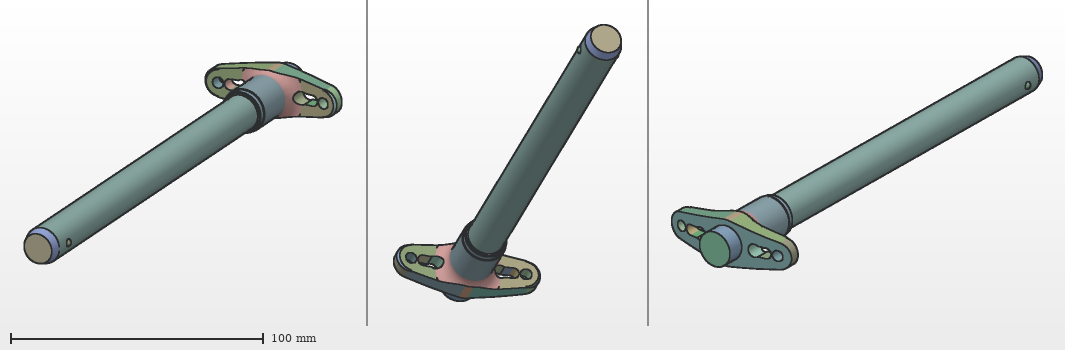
import cadquery as cq
import math


total_length = 208.5
pin_radius = 7.5
tip_radius = 6.3
tip_taper_length = 4.0

ball_radius = 1.7
ball_reach = 8.5
ball_to_tip = 11.5

handle_length = 59.2
hub_radius = 10.11
end_radius = 5.95
end_center = handle_length / 2 - end_radius
crown_depth = 7.5
end_back_depth = 11.3
end_front_depth = 16.7
hollow_depth = 14.4
end_chamfer = 1.3
profile_overhang = 0.6

hole_diameter = 4.5
keyhole_diameter = 5.6
keyhole_center = 13.3
slot_end_center = 18.5

collar_radius = 9.07
collar_step_depth = 37.3
collar_end_depth = 40.2
collar_end_radius = 8.65
collar_chamfer = 0.5
flare_outer_radius = 14.5
flare_start_depth = 14.8
flare_radius = flare_outer_radius - collar_radius
flare_end_depth = flare_start_depth + flare_radius


def make_pin():
    """Round button and shank in one bar, tapered at the tip."""
    return (
        cq.Workplane("XY")
        .lineTo(pin_radius, 0)
        .lineTo(pin_radius, tip_taper_length - total_length)
        .lineTo(tip_radius, -total_length)
        .lineTo(0, -total_length)
        .close()
        .revolve(360, (0, 0), (0, 1))
    )


def make_collar():
    """Collar that flares into the handle through a concave quarter round."""
    flare_mid_offset = flare_radius * math.sqrt(0.5)
    flare_mid = (flare_outer_radius - flare_mid_offset, flare_mid_offset - flare_end_depth)
    collar_back_depth = (flare_start_depth + crown_depth) / 2
    flared_collar = (
        cq.Workplane("XY")
        .moveTo(0, -collar_back_depth)
        .lineTo(flare_outer_radius, -collar_back_depth)
        .lineTo(flare_outer_radius, -flare_start_depth)
        .threePointArc(flare_mid, (collar_radius, -flare_end_depth))
        .lineTo(collar_radius, -collar_step_depth)
        .lineTo(collar_end_radius, -collar_step_depth)
        .lineTo(collar_end_radius, collar_chamfer - collar_end_depth)
        .lineTo(collar_end_radius - collar_chamfer, -collar_end_depth)
        .lineTo(0, -collar_end_depth)
        .close()
        .revolve(360, (0, 0), (0, 1))
    )
    return flared_collar.intersect(make_handle_outline(collar_end_depth))


def make_handle_outline(depth):
    """Plan of the handle: a hub arc and two end arcs joined by tangent lines."""
    slope = math.asin((hub_radius - end_radius) / end_center)
    hub_x = hub_radius * math.sin(slope)
    hub_z = hub_radius * math.cos(slope)
    end_x = end_center + end_radius * math.sin(slope)
    end_z = end_radius * math.cos(slope)
    half_length = handle_length / 2
    return (
        cq.Workplane("XZ")
        .moveTo(-hub_x, hub_z)
        .threePointArc((0, hub_radius), (hub_x, hub_z))
        .lineTo(end_x, end_z)
        .threePointArc((half_length, 0), (end_x, -end_z))
        .lineTo(hub_x, -hub_z)
        .threePointArc((0, -hub_radius), (-hub_x, -hub_z))
        .lineTo(-end_x, -end_z)
        .threePointArc((-half_length, 0), (-end_x, end_z))
        .close()
        .extrude(depth)
    )


def make_handle_profile():
    """Bowed side profile with a crowned back and a hollowed front."""
    half_length = handle_length / 2 + profile_overhang
    return (
        cq.Workplane("XY")
        .moveTo(-half_length, -end_back_depth)
        .threePointArc((0, -crown_depth), (half_length, -end_back_depth))
        .lineTo(half_length, -end_front_depth)
        .threePointArc((0, -hollow_depth), (-half_length, -end_front_depth))
        .close()
        .extrude(hub_radius, both=True)
    )


def make_end_chamfers():
    """Half rings that bevel the front edge around both rounded ends."""
    chamfer_ring = (
        cq.Workplane("YZ", origin=(end_center, 0, 0))
        .moveTo(-end_front_depth, end_radius - end_chamfer)
        .lineTo(end_chamfer - end_front_depth, end_radius)
        .lineTo(end_chamfer - end_front_depth, end_radius + end_chamfer)
        .lineTo(-end_front_depth, end_radius + end_chamfer)
        .close()
        .revolve(180, (0, 0), (1, 0))
    )
    return chamfer_ring.union(chamfer_ring.mirror("YZ"))


def make_handle():
    """Solid handle: the plan outline cut to the bowed profile, with beveled ends."""
    handle = make_handle_outline(collar_end_depth).intersect(make_handle_profile())
    return handle.cut(make_end_chamfers())


def on_both_arms(offset):
    """Sketch plane with one point on each arm, at this distance from the pin axis."""
    return cq.Workplane("XZ").pushPoints([(-offset, 0), (offset, 0)])


def make_handle_openings():
    """Round hole and keyhole slot through each arm."""
    slot_length = slot_end_center - keyhole_center + hole_diameter
    slot_middle = (slot_end_center + keyhole_center) / 2
    holes = on_both_arms(end_center).circle(hole_diameter / 2).extrude(collar_end_depth)
    keyholes = on_both_arms(keyhole_center).circle(keyhole_diameter / 2).extrude(collar_end_depth)
    slots = on_both_arms(slot_middle).slot2D(slot_length, hole_diameter).extrude(collar_end_depth)
    return holes.union(keyholes).union(slots)


def make_balls():
    """Two locking balls standing proud of the shank near its tip."""
    ball_offset = ball_reach - ball_radius
    ball_y = ball_to_tip - total_length
    return (
        cq.Workplane("XY")
        .pushPoints([(-ball_offset, ball_y), (ball_offset, ball_y)])
        .sphere(ball_radius)
    )


handle = make_handle().union(make_collar()).cut(make_handle_openings())
result = handle.union(make_pin()).union(make_balls())